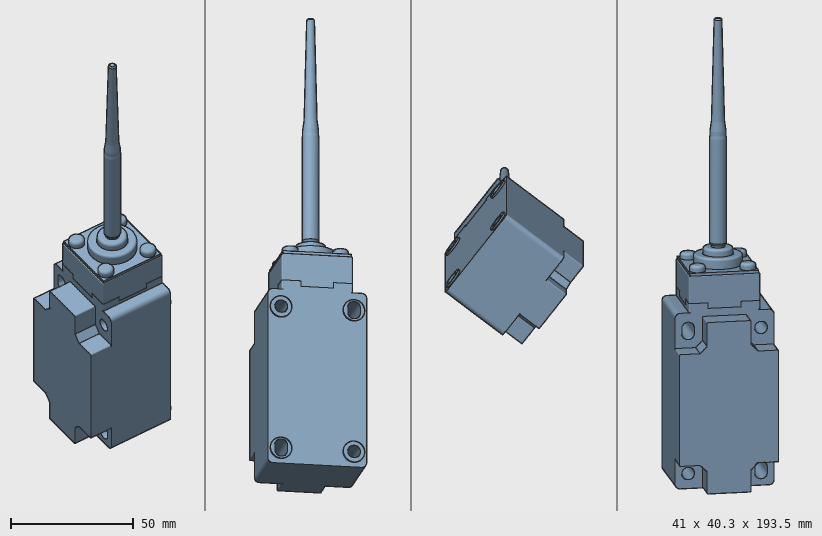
import cadquery as cq

TOTAL_HEIGHT = 193.5

HOUSING_WIDTH = 41.0
HOUSING_HEIGHT = 74.0
HOUSING_CORNER_RADIUS = 2.1
COVER_DEPTH = 10.0
COVER_TOP = 72.2
COVER_NECK_WIDTH = 18.2
COVER_SHELF_LOW = 12.2
COVER_SHELF_HIGH = 59.2
COVER_RECESS_CHAMFER = 2.9
COVER_EDGE_RADIUS = 0.48

HOLE_DIAMETER = 5.2
HOLE_X = 15.0
HOLE_LOW = 6.4
HOLE_HIGH = 66.4
SLOT_LENGTH = 7.4
PAD_DIAMETER = 8.9
PAD_HEIGHT = 0.8

SQUARE = 29.5
SQUARE_CORNER_RADIUS = 0.5
HEAD_BOTTOM = 77.8
HEAD_TOP = 89.2
HEAD_EDGE_RADIUS = 0.4
KEY_WIDTH = 13.5
KEY_DEPTH = 2.3

PLATE_SIZE = 28.5
PLATE_TOP = 90.4
SCREW_RADIUS = 3.3
SCREW_TOP = 93.0
SCREW_ROUNDING = 1.4
SCREW_OFFSET = 10.5
COLLAR_RADIUS = 10.0
COLLAR_TOP = 94.6
COLLAR_ROUNDING = 1.0
SOCKET_RADIUS = 6.4

BOSS_RADIUS = 6.2
BOSS_TOP = 97.5
BOSS_ROUNDING = 1.2
ROD_RADIUS = 3.5
ROD_FOOT_RADIUS = 2.9
ROD_FOOT_TOP = 98.3
ROD_CHAMFER_TOP = 99.3
SLEEVE_TOP = 143.2
BAND_RADIUS = 3.3
BAND_BOTTOM = 144.4
BAND_TOP = 146.3
WHISKER_BOTTOM = 150.3
WHISKER_BASE_RADIUS = 2.7
TIP_RADIUS = 1.65
TIP_CHAMFER = 0.5

BACK = SQUARE / 2
RECESS_FACE = -SQUARE / 2


def square_block(size, bottom, top):
    return cq.Workplane("XY").workplane(offset=bottom).rect(size, size).extrude(top - bottom)


def cylinder(x, y, radius, bottom, top):
    return cq.Workplane("XY", origin=(x, y, bottom)).circle(radius).extrude(top - bottom)


def rounded_stud(x, y, radius, bottom, top, rounding):
    return cylinder(x, y, radius, bottom, top).faces(">Z").edges().fillet(rounding)


def cross_key():
    """Two crossing bars under the head, seated in the top of the housing."""
    middle = HEAD_BOTTOM - KEY_DEPTH / 2
    bar_x = cq.Workplane("XY").box(SQUARE, KEY_WIDTH, KEY_DEPTH)
    bar_y = cq.Workplane("XY").box(KEY_WIDTH, SQUARE, KEY_DEPTH)
    return bar_x.union(bar_y).translate((0, 0, middle))


def cover():
    """Front cover: a cross-shaped plate that leaves a recess at each corner."""
    side = HOUSING_WIDTH / 2
    neck = COVER_NECK_WIDTH / 2
    foot = neck + COVER_RECESS_CHAMFER
    right_half = [
        (neck, 0),
        (neck, COVER_SHELF_LOW - COVER_RECESS_CHAMFER),
        (foot, COVER_SHELF_LOW),
        (side, COVER_SHELF_LOW),
        (side, COVER_SHELF_HIGH),
        (foot, COVER_SHELF_HIGH),
        (neck, COVER_SHELF_HIGH + COVER_RECESS_CHAMFER),
        (neck, COVER_TOP),
    ]
    left_half = [(-x, z) for x, z in reversed(right_half)]
    plate = (
        cq.Workplane("XZ", origin=(0, RECESS_FACE, 0))
        .polyline(right_half + left_half)
        .close()
        .extrude(COVER_DEPTH)
    )
    outer_corners = plate.edges("|Y and (>X or <X or >Z or <Z)")
    return outer_corners.fillet(COVER_EDGE_RADIUS)


def mounting_holes():
    """A round hole and an upright slot on each side, placed crosswise."""
    plane = cq.Workplane("XZ", origin=(0, BACK + PAD_HEIGHT, 0))
    depth = BACK + PAD_HEIGHT - RECESS_FACE
    round_holes = (
        plane.pushPoints([(-HOLE_X, HOLE_LOW), (HOLE_X, HOLE_HIGH)])
        .circle(HOLE_DIAMETER / 2)
        .extrude(depth)
    )
    slots = (
        plane.pushPoints([(-HOLE_X, HOLE_HIGH), (HOLE_X, HOLE_LOW)])
        .slot2D(SLOT_LENGTH, HOLE_DIAMETER, 90)
        .extrude(depth)
    )
    return round_holes.union(slots)


def rear_pads():
    centres = [(x, z) for x in (-HOLE_X, HOLE_X) for z in (HOLE_LOW, HOLE_HIGH)]
    return (
        cq.Workplane("XZ", origin=(0, BACK + PAD_HEIGHT, 0))
        .pushPoints(centres)
        .circle(PAD_DIAMETER / 2)
        .extrude(PAD_HEIGHT)
    )


def make_housing():
    case = (
        cq.Workplane("XY")
        .box(HOUSING_WIDTH, SQUARE, HOUSING_HEIGHT, centered=(True, True, False))
        .edges("|Y")
        .fillet(HOUSING_CORNER_RADIUS)
    )
    neck = square_block(SQUARE, HOUSING_HEIGHT, HEAD_BOTTOM).edges("|Z").fillet(SQUARE_CORNER_RADIUS)
    return case.union(neck).union(cover()).union(rear_pads()).cut(mounting_holes()).cut(cross_key())


def make_head():
    block = square_block(SQUARE, HEAD_BOTTOM, HEAD_TOP).edges("|Z").fillet(SQUARE_CORNER_RADIUS)
    head = block.faces(">Z").edges().fillet(HEAD_EDGE_RADIUS).union(cross_key())
    head = head.union(square_block(PLATE_SIZE, HEAD_TOP, PLATE_TOP))
    for x in (-SCREW_OFFSET, SCREW_OFFSET):
        for y in (-SCREW_OFFSET, SCREW_OFFSET):
            head = head.union(rounded_stud(x, y, SCREW_RADIUS, PLATE_TOP, SCREW_TOP, SCREW_ROUNDING))
    collar = rounded_stud(0, 0, COLLAR_RADIUS, PLATE_TOP, COLLAR_TOP, COLLAR_ROUNDING)
    socket = cylinder(0, 0, SOCKET_RADIUS, PLATE_TOP, COLLAR_TOP)
    return head.union(collar).cut(socket)


def make_rod():
    """Boss seated in the collar, sleeve and tapered whisker, all about the Z axis."""
    boss = rounded_stud(0, 0, BOSS_RADIUS, PLATE_TOP, BOSS_TOP, BOSS_ROUNDING)
    profile = [
        (0, BOSS_TOP),
        (ROD_FOOT_RADIUS, BOSS_TOP),
        (ROD_FOOT_RADIUS, ROD_FOOT_TOP),
        (ROD_RADIUS, ROD_CHAMFER_TOP),
        (ROD_RADIUS, SLEEVE_TOP),
        (BAND_RADIUS, BAND_BOTTOM),
        (BAND_RADIUS, BAND_TOP),
        (WHISKER_BASE_RADIUS, WHISKER_BOTTOM),
        (TIP_RADIUS, TOTAL_HEIGHT - TIP_CHAMFER),
        (TIP_RADIUS - TIP_CHAMFER, TOTAL_HEIGHT),
        (0, TOTAL_HEIGHT),
    ]
    turned = cq.Workplane("XZ").polyline(profile).close().revolve()
    return boss.union(turned)


housing = make_housing()
head = make_head()
rod = make_rod()

result = cq.Compound.makeCompound([housing.val(), head.val(), rod.val()])